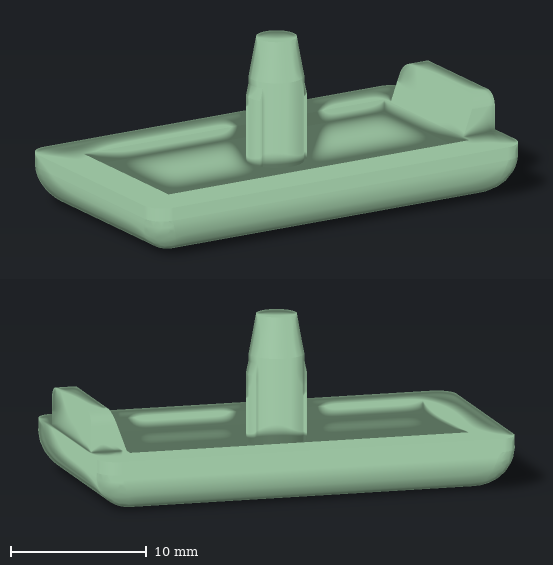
import cadquery as cq

plate_length = 32
plate_width = 18.0
plate_thickness = 4.0
corner_radius = 1.5
straight_side_height = 1.0
bottom_radius = plate_thickness - straight_side_height

rim_width = 3.0
pocket_depth = 1.0
pocket_floor = plate_thickness - pocket_depth

total_height = 12.5
pin_radius = 2.05
pin_tip_radius = 1.5
pin_taper_height = 3.0
pin_taper_start = total_height - pin_taper_height

rib_width = 2.0
rib_radius = 2.25
rib_top = total_height - 3.5
rib_taper_height = 0.93

tab_width = 10.2
tab_height = 3.0
tab_edge_gap = 0.3
tab_top_depth = 1.6
tab_corner_radius = 1.0


def make_plate():
    plate = cq.Workplane("XY").box(plate_width, plate_length, plate_thickness, centered=(True, True, False))
    plate = plate.edges("|Z").fillet(corner_radius)
    plate = plate.faces("<Z").edges().fillet(bottom_radius)
    pocket = (
        cq.Workplane("XY")
        .workplane(offset=pocket_floor)
        .rect(plate_width - 2 * rim_width, plate_length - 2 * rim_width)
        .extrude(pocket_depth)
    )
    return plate.cut(pocket)


def revolve_profile(points):
    return cq.Workplane("XZ").polyline(points).close().revolve(360, (0, 0), (0, 1))


def make_pin():
    return revolve_profile([
        (0, pocket_floor),
        (pin_radius, pocket_floor),
        (pin_radius, pin_taper_start),
        (pin_tip_radius, total_height),
        (0, total_height),
    ])


def make_ribs():
    sleeve = revolve_profile([
        (0, pocket_floor),
        (rib_radius, pocket_floor),
        (rib_radius, rib_top - rib_taper_height),
        (pin_radius, rib_top),
        (0, rib_top),
    ])
    band = cq.Workplane("XY").box(rib_width, 2 * plate_width, 2 * total_height)
    return sleeve.intersect(band)


def make_tab():
    back = plate_length / 2 - tab_edge_gap
    front = plate_length / 2 - rim_width
    top = plate_thickness + tab_height
    tab = (
        cq.Workplane("YZ")
        .polyline([
            (front, plate_thickness),
            (back, plate_thickness),
            (back, top),
            (back - tab_top_depth, top),
        ])
        .close()
        .extrude(tab_width / 2, both=True)
    )
    rounded_outline = (
        cq.Workplane("XY")
        .box(tab_width, plate_length, tab_height, centered=(True, True, False))
        .edges("|Y and >Z")
        .fillet(tab_corner_radius)
        .translate((0, 0, plate_thickness))
    )
    return tab.intersect(rounded_outline)


result = make_plate().union(make_pin()).union(make_ribs()).union(make_tab())